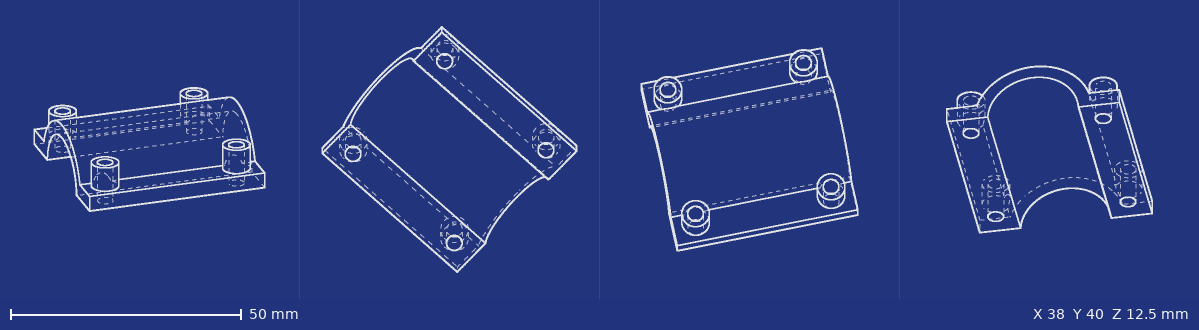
import cadquery as cq

length = 40.0
width = 38.0
height = 12.45
flange_thickness = 3.5
bore_radius = 10.0
wall = 3.0
boss_diameter = 6.0
boss_top = 9.0
hole_diameter = 3.4
boss_spacing_x = 29.1
boss_spacing_y = 30.0

outer_radius = bore_radius + wall
axis_z = height - outer_radius
boss_centers = [
    (side * boss_spacing_x / 2, end * boss_spacing_y / 2)
    for side in (-1, 1)
    for end in (-1, 1)
]


def cylinder_along_y(radius):
    """Full-length cylinder on the arch axis."""
    return (
        cq.Workplane("XZ")
        .center(0, axis_z)
        .circle(radius)
        .extrude(length / 2, both=True)
    )


def vertical_cylinders(diameter, top):
    """Cylinders from the base plane at the four boss positions."""
    return cq.Workplane("XY").pushPoints(boss_centers).circle(diameter / 2).extrude(top)


flanges = cq.Workplane("XY").box(width, length, flange_thickness, centered=(True, True, False))
above_base = cq.Workplane("XY").box(width, length, height, centered=(True, True, False))
arch = cylinder_along_y(outer_radius).intersect(above_base)

body = flanges.union(arch).union(vertical_cylinders(boss_diameter, boss_top))
result = body.cut(cylinder_along_y(bore_radius)).cut(vertical_cylinders(hole_diameter, boss_top))